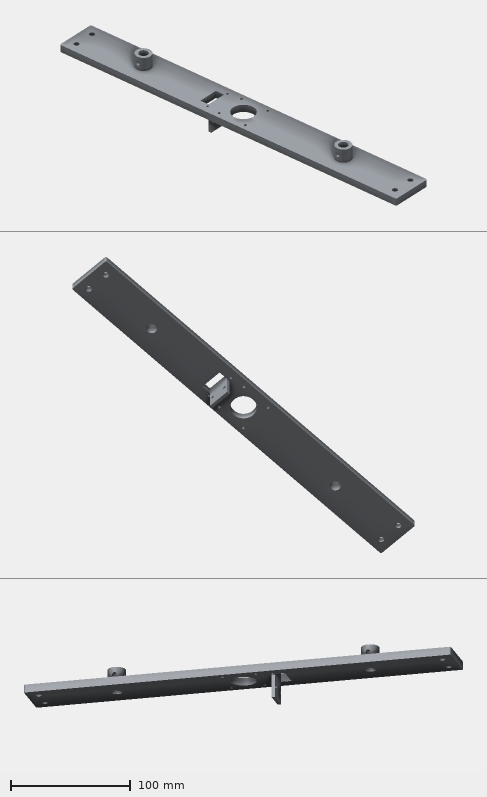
import cadquery as cq

PLATE_LENGTH = 370.0
PLATE_WIDTH = 40.0
PLATE_THICKNESS = 7.0
PLATE_CORNER_RADIUS = 1.0

MOUNT_HOLE_DIAMETER = 5.0
MOUNT_HOLE_INSET = 10.0
MOUNT_HOLE_SPACING_Y = 20.0

BOSS_DIAMETER = 15.0
BOSS_BORE = 9.0
BOSS_HEIGHT = 13.0
BOSS_SPACING = 219.8
CROSS_HOLE_DIAMETER = 4.0
CROSS_HOLE_HEIGHT = BOSS_HEIGHT / 2

CENTRE_HOLE_DIAMETER = 22.2
SCREW_HOLE_DIAMETER = 2.5
SCREW_HOLE_SPACING = 29.0

TAB_WIDTH = 20.0
TAB_THICKNESS = 3.0
TAB_DROP = PLATE_WIDTH - PLATE_THICKNESS - BOSS_HEIGHT
TAB_FACE_X = -30.0
TAB_CENTRE_X = TAB_FACE_X + TAB_THICKNESS / 2
TAB_HOLE_DIAMETER = 3.0
TAB_HOLE_SPACING = 14.0
TAB_HOLE_Z = -TAB_DROP / 2

WINDOW_LENGTH = 9.0
WINDOW_WIDTH = TAB_WIDTH
WINDOW_CENTRE_X = TAB_FACE_X - WINDOW_LENGTH / 2
SIDE_HOLE_DIAMETER = 2.2
SIDE_HOLE_SPACING = 25.5


def vertical_holes(points, diameter):
    """Cutters through the full plate thickness."""
    return cq.Workplane("XY").pushPoints(points).circle(diameter / 2).extrude(PLATE_THICKNESS)


def grid(spacing_x, spacing_y):
    """Four corner points of a rectangle centred on the origin."""
    return [(sx * spacing_x / 2, sy * spacing_y / 2) for sx in (-1, 1) for sy in (-1, 1)]


def add_boss(plate, x):
    """Join one boss to the plate, then cut its bore and cross hole."""
    boss_top = PLATE_THICKNESS + BOSS_HEIGHT
    boss = cq.Workplane("XY", origin=(x, 0, 0)).circle(BOSS_DIAMETER / 2).extrude(boss_top)
    bore = cq.Workplane("XY", origin=(x, 0, 0)).circle(BOSS_BORE / 2).extrude(boss_top)
    cross_hole = (
        cq.Workplane("XZ", origin=(x, 0, PLATE_THICKNESS + CROSS_HOLE_HEIGHT))
        .circle(CROSS_HOLE_DIAMETER / 2)
        .extrude(BOSS_DIAMETER, both=True)
    )
    return plate.union(boss).cut(bore).cut(cross_hole)


def make_plate():
    """Plate with bosses, holes and window."""
    plate = cq.Workplane("XY").box(
        PLATE_LENGTH, PLATE_WIDTH, PLATE_THICKNESS, centered=(True, True, False)
    )
    plate = plate.edges("|Z").fillet(PLATE_CORNER_RADIUS)
    for side in (-1, 1):
        plate = add_boss(plate, side * BOSS_SPACING / 2)

    mount_points = grid(PLATE_LENGTH - 2 * MOUNT_HOLE_INSET, MOUNT_HOLE_SPACING_Y)
    plate = plate.cut(vertical_holes(mount_points, MOUNT_HOLE_DIAMETER))
    plate = plate.cut(vertical_holes([(0, 0)], CENTRE_HOLE_DIAMETER))
    screw_points = grid(SCREW_HOLE_SPACING, SCREW_HOLE_SPACING)
    plate = plate.cut(vertical_holes(screw_points, SCREW_HOLE_DIAMETER))

    window = cq.Workplane("XY", origin=(WINDOW_CENTRE_X, 0, 0)).rect(WINDOW_LENGTH, WINDOW_WIDTH)
    plate = plate.cut(window.extrude(PLATE_THICKNESS))
    side_points = [(TAB_CENTRE_X, side * SIDE_HOLE_SPACING / 2) for side in (-1, 1)]
    return plate.cut(vertical_holes(side_points, SIDE_HOLE_DIAMETER))


def make_tab():
    """Thin upright tab touching the plate underside, with two holes along X."""
    tab = cq.Workplane("XY", origin=(TAB_CENTRE_X, 0, 0)).rect(TAB_THICKNESS, TAB_WIDTH).extrude(-TAB_DROP)
    hole_points = [(side * TAB_HOLE_SPACING / 2, TAB_HOLE_Z) for side in (-1, 1)]
    holes = (
        cq.Workplane("YZ", origin=(TAB_FACE_X, 0, 0))
        .pushPoints(hole_points)
        .circle(TAB_HOLE_DIAMETER / 2)
        .extrude(TAB_THICKNESS)
    )
    return tab.cut(holes)


plate = make_plate()
tab = make_tab()

result = cq.Compound.makeCompound([plate.val(), tab.val()])